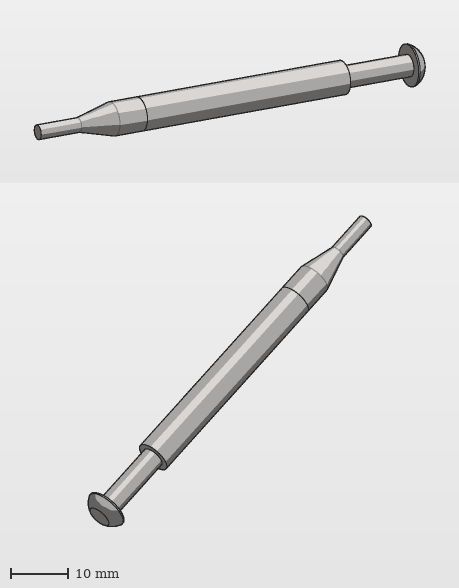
import cadquery as cq

total_length = 75.2
tip_length = 8.0
cone_length = 6.6
collar_length = 5.4
sleeve_length = 40.0
head_height = 2.2

tip_diameter = 2.6
sleeve_diameter = 6.1
shank_diameter = 4.0
head_diameter = 7.6
head_flat_diameter = 4.2

rim_height = 0.3
dome_bulge = 0.2

tip_end = 0.0
cone_start = tip_end + tip_length
collar_start = cone_start + cone_length
sleeve_start = collar_start + collar_length
sleeve_end = sleeve_start + sleeve_length
head_top = tip_end + total_length
head_start = head_top - head_height
rim_end = head_start + rim_height


def revolve_about_y(profile):
    """Turn a closed half-profile in the XY plane around the Y axis."""
    return profile.revolve(360, (0, 0, 0), (0, 1, 0))


def make_nose():
    """Collar tapering through a cone to a slender cylindrical tip."""
    profile = (
        cq.Workplane("XY")
        .moveTo(0, tip_end)
        .lineTo(tip_diameter / 2, tip_end)
        .lineTo(tip_diameter / 2, cone_start)
        .lineTo(sleeve_diameter / 2, collar_start)
        .lineTo(sleeve_diameter / 2, sleeve_start)
        .lineTo(0, sleeve_start)
        .close()
    )
    return revolve_about_y(profile)


def make_sleeve():
    """Plain cylinder between the nose collar and the bolt shank."""
    profile = (
        cq.Workplane("XY")
        .moveTo(0, sleeve_start)
        .lineTo(sleeve_diameter / 2, sleeve_start)
        .lineTo(sleeve_diameter / 2, sleeve_end)
        .lineTo(0, sleeve_end)
        .close()
    )
    return revolve_about_y(profile)


def make_bolt():
    """Shank with a flat-topped button head."""
    profile = (
        cq.Workplane("XY")
        .moveTo(0, sleeve_end)
        .lineTo(shank_diameter / 2, sleeve_end)
        .lineTo(shank_diameter / 2, head_start)
        .lineTo(head_diameter / 2, head_start)
        .lineTo(head_diameter / 2, rim_end)
        .sagittaArc((head_flat_diameter / 2, head_top), -dome_bulge)
        .lineTo(0, head_top)
        .close()
    )
    return revolve_about_y(profile)


nose = make_nose()
sleeve = make_sleeve()
bolt = make_bolt()

result = cq.Compound.makeCompound([nose.val(), sleeve.val(), bolt.val()])